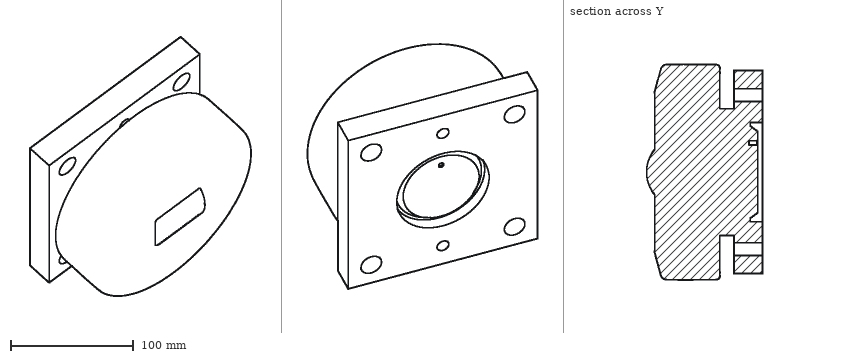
import cadquery as cq
import math

overall_length = 94.7

plate_side = 165.3
plate_thickness = 23.4
hole_offset = 62.5
mounting_hole_diameter = 18.0
pin_hole_diameter = 10.2

recess_diameter = 80.6
axle_diameter = 75.2
axle_end_diameter = 66.2
axle_end_depth = 4.0
recess_depth = 10.0

port_offset = 23.7
port_mouth_diameter = 4.5
port_bore_diameter = 3.2
port_mouth_depth = 0.7
port_bore_depth = 7.0

neck_diameter = 103.3

roller_radius = 87.8
roller_edge_radius = 87.5
roller_back = 34.6
roller_front = 88.2
face_radius = 64.6
back_rim_radius = 3.3
front_rim_radius = 5.3
cone_slope = math.radians(15)

side_roller_radius = 28.5
side_roller_width = 49.9
side_roller_rim_radius = 2.1


def x_cylinder(diameter, start, end, y=0, z=0):
    """Cylinder along X from x = start to x = end."""
    return (
        cq.Workplane("YZ", origin=(start, y, z))
        .circle(diameter / 2)
        .extrude(end - start)
    )


def mounting_plate():
    plate = cq.Workplane("YZ").rect(plate_side, plate_side).extrude(plate_thickness)
    for z in (-hole_offset, hole_offset):
        for y in (-hole_offset, hole_offset):
            plate = plate.cut(x_cylinder(mounting_hole_diameter, 0, plate_thickness, y, z))
        plate = plate.cut(x_cylinder(pin_hole_diameter, 0, plate_thickness, 0, z))
    return plate


def main_roller():
    """Half profile, x along the axis and y as the radius, turned about the X axis."""
    cone_back = roller_front - (roller_edge_radius - face_radius) * math.tan(cone_slope)
    crown_middle = (roller_back + cone_back) / 2
    return (
        cq.Workplane("XY")
        .moveTo(roller_back, 0)
        .lineTo(roller_back, roller_edge_radius)
        .threePointArc((crown_middle, roller_radius), (cone_back, roller_edge_radius))
        .lineTo(roller_front, face_radius)
        .lineTo(roller_front, 0)
        .close()
        .revolve(360, (0, 0, 0), (1, 0, 0))
        .faces("<X")
        .edges()
        .fillet(back_rim_radius)
        .edges(cq.selectors.NearestToPointSelector((cone_back, 0, 0)))
        .fillet(front_rim_radius)
    )


def side_roller():
    return (
        cq.Workplane("XZ")
        .center(overall_length - side_roller_radius, 0)
        .circle(side_roller_radius)
        .extrude(side_roller_width / 2, both=True)
        .faces("<Y or >Y")
        .edges()
        .fillet(side_roller_rim_radius)
    )


def axle_end():
    """Axle end inside the recess, chamfered all the way down to the recess floor."""
    chamfer_length = recess_depth - axle_end_depth
    chamfer_width = (axle_diameter - axle_end_diameter) / 2
    return (
        x_cylinder(axle_diameter, axle_end_depth, plate_thickness)
        .faces("<X")
        .chamfer(chamfer_length, chamfer_width)
    )


def grease_port():
    """Bore with a short conical mouth, starting at the axle end face."""
    mouth = (
        cq.Workplane("YZ", origin=(axle_end_depth, 0, port_offset))
        .circle(port_mouth_diameter / 2)
        .workplane(offset=port_mouth_depth)
        .circle(port_bore_diameter / 2)
        .loft()
    )
    bore_end = axle_end_depth + port_bore_depth
    return mouth.union(x_cylinder(port_bore_diameter, axle_end_depth, bore_end, 0, port_offset))


recess = x_cylinder(recess_diameter, 0, recess_depth)
neck = x_cylinder(neck_diameter, plate_thickness, roller_back)

result = (
    mounting_plate()
    .cut(recess)
    .union(axle_end())
    .union(neck)
    .union(main_roller())
    .union(side_roller())
    .cut(grease_port())
)